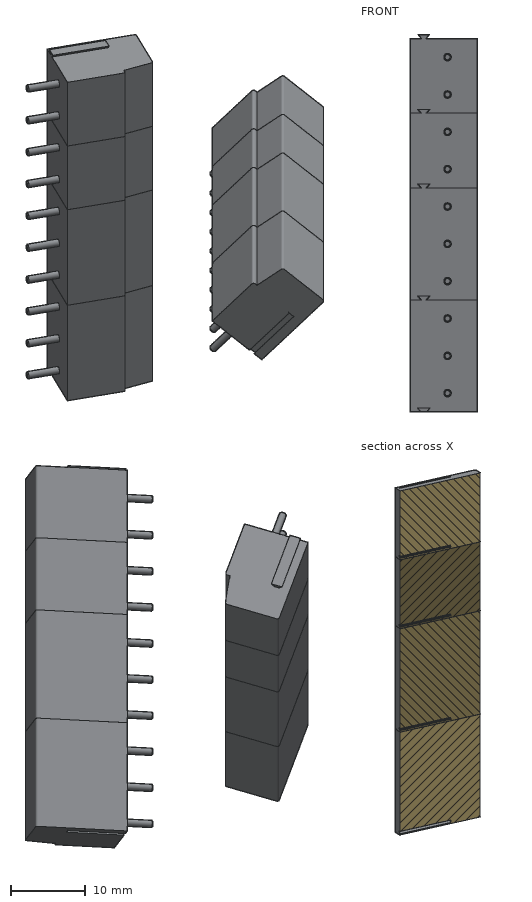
import cadquery as cq

POLE_COUNTS = [3, 3, 2, 2]
POLE_PITCH = 5.0

BLOCK_WIDTH = 9.0
BLOCK_DEPTH = 12.45
BACK_WIDTH = 7.6
SLOPE_DEPTH = 4.3
LEDGE_WIDTH = 0.65
EDGE_RADIUS = 0.3

TAIL_HEIGHT = 0.5
TAIL_TOP_WIDTH = 1.5
TAIL_NECK_WIDTH = 0.65
TAIL_LENGTH = 7.9
TAIL_CENTER_X = 1.8
GROOVE_CLEARANCE = 0.075

PIN_DIAMETER = 1.0
PIN_LENGTH = 4.45
PIN_CHAMFER = 0.15
PIN_X = POLE_PITCH


def dovetail(base_z, clearance=0):
    """Dovetail standing on base_z and running back from the front face, widened by clearance."""
    half_neck = TAIL_NECK_WIDTH / 2 + clearance
    half_top = TAIL_TOP_WIDTH / 2 + clearance
    return (
        cq.Workplane("XZ", origin=(TAIL_CENTER_X, 0, base_z))
        .moveTo(-half_neck, 0)
        .lineTo(half_neck, 0)
        .lineTo(half_top, TAIL_HEIGHT)
        .lineTo(-half_top, TAIL_HEIGHT)
        .close()
        .extrude(-TAIL_LENGTH)
    )


def housing(base_z, height):
    """Block body with a ledge and a sloped face along the rear +X side."""
    ledge_y = BLOCK_DEPTH - SLOPE_DEPTH
    return (
        cq.Workplane("XY", origin=(0, 0, base_z))
        .lineTo(BLOCK_WIDTH, 0)
        .lineTo(BLOCK_WIDTH, ledge_y)
        .lineTo(BLOCK_WIDTH - LEDGE_WIDTH, ledge_y)
        .lineTo(BACK_WIDTH, BLOCK_DEPTH)
        .lineTo(0, BLOCK_DEPTH)
        .close()
        .extrude(height)
        .edges("|Z and >Y")
        .fillet(EDGE_RADIUS)
        .edges(cq.selectors.NearestToPointSelector((BLOCK_WIDTH, ledge_y, base_z + height / 2)))
        .fillet(EDGE_RADIUS)
    )


def contact_pin(center_z):
    """Round pin standing out of the front face, chamfered at its tip."""
    return (
        cq.Workplane("XZ", origin=(PIN_X, 0, center_z))
        .circle(PIN_DIAMETER / 2)
        .extrude(PIN_LENGTH)
        .faces("<Y")
        .chamfer(PIN_CHAMFER)
    )


def terminal_block(base_z, pole_count):
    """One block: a rail on top, a matching groove below and one pin per pole."""
    height = pole_count * POLE_PITCH
    block = housing(base_z, height)
    block = block.cut(dovetail(base_z, GROOVE_CLEARANCE))
    block = block.union(dovetail(base_z + height))
    for pole in range(pole_count):
        block = block.union(contact_pin(base_z + POLE_PITCH / 2 + pole * POLE_PITCH))
    return block


blocks = []
next_base_z = 0
for count in POLE_COUNTS:
    blocks.append(terminal_block(next_base_z, count))
    next_base_z += count * POLE_PITCH

result = cq.Compound.makeCompound([block.val() for block in blocks])